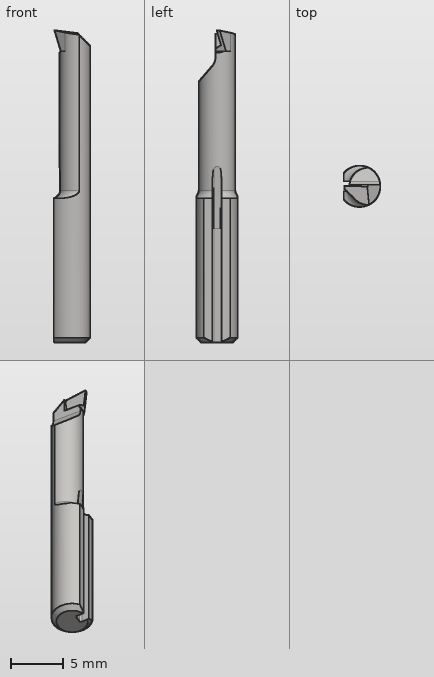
import cadquery as cq
import math

length = 30.0
clearance = 3.0

shank_diameter = 4.0
shank_radius = shank_diameter / 2
width_over_flat = 3.55
flat_x = shank_radius - width_over_flat
shank_chamfer = 0.48

neck_radius = 1.77
neck_x = 0.78
shoulder_z = 13.83
shoulder_radius = 0.8

slot_width = 0.93
slot_floor_x = -0.63
slot_floor_fillet = 0.15
slot_run_out_z = 10.98
slot_run_out_radius = 49.5

rake_face_y = 0.15
relief_start_z = 25.05
relief_corner_z = 26.9
relief_fillet = 1.4

tip_x = -1.47
tip_y = 0.045
tip_bottom_x = -0.87
tip_bottom_z = 28.0
tip_back_x = 0.78
chip_pocket_y = -0.4
chip_pocket_z = 28.55
chip_pocket_exit_z = 28.23
flank_notch_end_x = -1.0
flank_notch_end_z = 27.8

end_slope_x = math.tan(math.radians(7))
end_slope_y = math.tan(math.radians(5))
back_chamfer_start_x = 0.75
back_chamfer_start_z = 29.7


def make_shank():
    """Full-length round with one flat, chamfered at the bottom."""
    body = cq.Workplane("XY").circle(shank_radius).extrude(length)
    body = body.faces("<Z").chamfer(shank_chamfer)
    flat = cq.Workplane("XY").box(clearance, 2 * clearance, length, centered=(False, True, False))
    return body.cut(flat.translate((flat_x - clearance, 0, 0)))


def make_neck_envelope():
    """Neck outline turned about its own axis, with a concave shoulder below it."""
    outer = neck_radius + clearance
    fillet_outer = neck_radius + shoulder_radius
    fillet_top = shoulder_z + shoulder_radius
    diagonal = shoulder_radius * math.sqrt(0.5)
    return (
        cq.Workplane("XZ")
        .lineTo(outer, 0)
        .lineTo(outer, shoulder_z)
        .lineTo(fillet_outer, shoulder_z)
        .threePointArc((fillet_outer - diagonal, fillet_top - diagonal), (neck_radius, fillet_top))
        .lineTo(neck_radius, length)
        .lineTo(0, length)
        .close()
        .revolve(360, (0, 0, 0), (0, 1, 0))
        .translate((neck_x, 0, 0))
    )


def make_slot():
    """Slot with rounded floor corners whose floor curves out through the neck."""
    outer_x = flat_x - clearance
    center_x = slot_floor_x - slot_run_out_radius
    end_angle = math.asin((outer_x - center_x) / slot_run_out_radius)

    def run_out_point(angle):
        return (
            center_x + slot_run_out_radius * math.sin(angle),
            slot_run_out_z + slot_run_out_radius * math.cos(angle),
        )

    return (
        cq.Workplane("XZ")
        .moveTo(outer_x, -clearance)
        .lineTo(slot_floor_x, -clearance)
        .lineTo(slot_floor_x, slot_run_out_z)
        .threePointArc(run_out_point((end_angle + math.pi / 2) / 2), run_out_point(end_angle))
        .close()
        .extrude(slot_width / 2, both=True)
        .faces(">Y or <Y")
        .edges(">X or %CIRCLE")
        .fillet(slot_floor_fillet)
    )


def make_relief():
    """Removes the +Y half of the head down to a blended slope."""
    slope = (relief_corner_z - relief_start_z) / (neck_radius - rake_face_y)
    outer_y = neck_radius + clearance
    cutter = (
        cq.Workplane("YZ")
        .moveTo(rake_face_y, length + clearance)
        .lineTo(rake_face_y, relief_corner_z)
        .lineTo(outer_y, relief_start_z - slope * clearance)
        .lineTo(outer_y, length + clearance)
        .close()
        .extrude(2 * clearance, both=True)
    )
    corner = cq.selectors.NearestToPointSelector((0, rake_face_y, relief_corner_z))
    return cutter.edges(corner).fillet(relief_fillet)


def make_tip():
    """Tip overhanging the neck: sloping flank and an upright 45 degree face tangent to the neck."""
    flank = (
        cq.Workplane("XZ")
        .polyline([
            (tip_x, length),
            (tip_bottom_x, tip_bottom_z),
            (neck_x, tip_bottom_z),
            (neck_x, length),
        ])
        .close()
        .extrude(clearance, both=True)
    )
    tangent_offset = neck_radius * math.sqrt(0.5)
    facet_end_x = neck_x - tangent_offset
    nose_y = facet_end_x - tip_x - tangent_offset
    plan = (
        cq.Workplane("XY")
        .polyline([
            (tip_x, tip_y),
            (tip_x, nose_y),
            (facet_end_x, -tangent_offset),
            (neck_x, tip_y),
        ])
        .close()
        .extrude(length)
    )
    return flank.intersect(plan)


def make_chip_pocket():
    """V-shaped pocket in the rake face, undercutting the top cutting edge."""
    return (
        cq.Workplane("YZ")
        .polyline([
            (tip_y, length),
            (chip_pocket_y, chip_pocket_z),
            (rake_face_y, chip_pocket_exit_z),
            (rake_face_y, length),
        ])
        .close()
        .extrude(clearance)
        .translate((tip_back_x - clearance, 0, 0))
    )


def make_flank_notch():
    """Shallow V where the tip flank runs out into the neck."""
    return (
        cq.Workplane("XZ")
        .polyline([
            (tip_x, length),
            (tip_bottom_x, tip_bottom_z),
            (flank_notch_end_x, flank_notch_end_z),
            (tip_x, flank_notch_end_z),
        ])
        .close()
        .extrude(clearance, both=True)
    )


def cut_above(body, point, normal):
    """Removes everything on the normal side of a plane."""
    plane = cq.Plane(origin=point, xDir=(1, 0, -normal[0]), normal=normal)
    return body.cut(cq.Workplane(plane).rect(4 * clearance, 4 * clearance).extrude(clearance))


result = make_shank().intersect(make_neck_envelope())
result = result.cut(make_slot()).cut(make_relief())
result = result.union(make_tip()).cut(make_flank_notch()).cut(make_chip_pocket())
result = cut_above(result, (tip_x, tip_y, length), (end_slope_x, -end_slope_y, 1))
result = cut_above(result, (back_chamfer_start_x, 0, back_chamfer_start_z), (1, 0, 1))